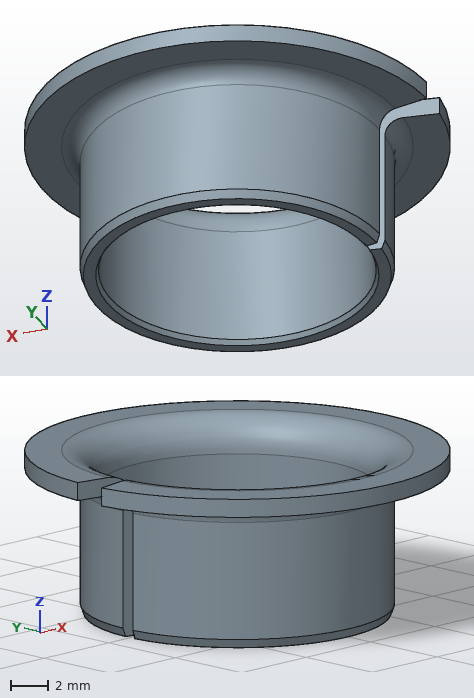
import cadquery as cq
import math

bore_diameter = 15.0
wall = 1.0
flange_diameter = 23.0
height = 9.0
outer_bend_radius = 1.0
chamfer_height = 0.5
chamfer_angle = 20.0
bore_chamfer_height = 0.3
bore_chamfer_width = 0.15
gap_at_bore = 0.4
gap_side_angle = 10.0

bore_radius = bore_diameter / 2
body_radius = bore_radius + wall
flange_radius = flange_diameter / 2
inner_bend_radius = outer_bend_radius + wall
bend_center_radius = body_radius + outer_bend_radius
bend_center_height = height - inner_bend_radius
flange_underside = height - wall
chamfer_width = chamfer_height * math.tan(math.radians(chamfer_angle))
bend_mid = math.sqrt(0.5)


def bend_midpoint(radius):
    """Middle point of a quarter bend from the sleeve into the flange."""
    return (
        bend_center_radius - radius * bend_mid,
        bend_center_height + radius * bend_mid,
    )


def make_flanged_sleeve():
    """Revolve the wall section of the sleeve and flange about Z."""
    section = (
        cq.Workplane("XZ")
        .moveTo(bore_radius, bore_chamfer_height)
        .lineTo(bore_radius + bore_chamfer_width, 0)
        .lineTo(body_radius - chamfer_width, 0)
        .lineTo(body_radius, chamfer_height)
        .lineTo(body_radius, bend_center_height)
        .threePointArc(
            bend_midpoint(outer_bend_radius),
            (bend_center_radius, flange_underside),
        )
        .lineTo(flange_radius, flange_underside)
        .lineTo(flange_radius, height)
        .lineTo(bend_center_radius, height)
        .threePointArc(
            bend_midpoint(inner_bend_radius),
            (bore_radius, bend_center_height),
        )
        .close()
    )
    sleeve = section.revolve(360, (0, 0, 0), (0, 1, 0))
    return sleeve.rotate((0, 0, 0), (0, 0, 1), 180)


def make_gap_cutter():
    """Wedge on the -X side, widening outward, through the full height."""
    gap_slope = math.tan(math.radians(gap_side_angle))
    tip_x = -bore_radius + gap_at_bore / 2 / gap_slope
    cutter_reach = flange_radius + wall
    half_width = (cutter_reach + tip_x) * gap_slope
    return (
        cq.Workplane("XY")
        .moveTo(tip_x, 0)
        .lineTo(-cutter_reach, half_width)
        .lineTo(-cutter_reach, -half_width)
        .close()
        .extrude(height)
    )


result = make_flanged_sleeve().cut(make_gap_cutter())